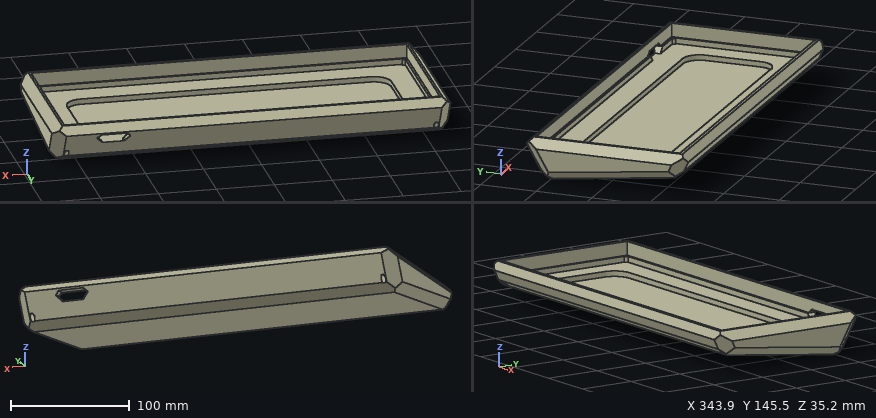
import cadquery as cq
import math

length = 343.91
width = 145.5
height = 35.23
front_lean = math.radians(25.0)
back_lean = math.radians(30.0)
base_slope = math.radians(7.0)

bevel = 8.0
front_base_bevel = 5.8
corner_bevel = 10.0
back_rim_bevel = 10.95

half_length = length / 2
top_z = height / 2

tray_center_y = -0.7
pocket_x = 324.0
pocket_y = 129.0
pocket_depth = 12.0
ledge_z = top_z - pocket_depth
ledge_width = 2.0
well_x = pocket_x - 2 * ledge_width
well_y = pocket_y - 2 * ledge_width
well_depth = 5.0
floor_z = ledge_z - well_depth

recess_x = 279.75
recess_y = 79.5
recess_center_y = 0.0
recess_radius = 15.0
recess_depth = 4.75

post_diameter = 4.0
screw_inset = 0.5
screw_diameter = 2.0
head_diameter = 4.0
head_roof = 1.0

slot_x = 120.45
slot_floor_width = 18.5
slot_lower_bevel = 5.0
slot_upper_bevel = 3.25
slot_rise = 3.5
slot_top_z = ledge_z + slot_rise

SPACE = 1000.0

front_edge_y = -width / 2 - bevel * math.sin(front_lean)
back_edge_y = width / 2 + bevel * math.sin(back_lean)
base_back_z = -top_z - bevel * math.sin(base_slope)
base_back_y = back_edge_y - (top_z - base_back_z) * math.tan(back_lean)
sharp_front_height = top_z - base_back_z - (base_back_y - front_edge_y) * math.tan(base_slope)
base_front_drop = sharp_front_height / (1 - math.tan(front_lean) * math.tan(base_slope))

top_front = (front_edge_y, top_z)
top_back = (back_edge_y, top_z)
base_back = (base_back_y, base_back_z)
base_front = (front_edge_y + base_front_drop * math.tan(front_lean), top_z - base_front_drop)

TOP = cq.Vector(0, 0, 1)
LEFT = cq.Vector(-1, 0, 0)
RIGHT = cq.Vector(1, 0, 0)
FRONT = cq.Vector(0, -math.cos(front_lean), -math.sin(front_lean))
BACK = cq.Vector(0, math.cos(back_lean), -math.sin(back_lean))
BASE = cq.Vector(0, -math.sin(base_slope), -math.cos(base_slope))


def bevel_edge(body, corner, face_a, face_b, setback_a, setback_b):
    """Cut away the edge between two faces, given by outward normals, that runs through corner."""
    into_a = (face_a * face_a.dot(face_b) - face_b).normalized()
    into_b = (face_b * face_a.dot(face_b) - face_a).normalized()
    point_a = corner + into_a * setback_a
    point_b = corner + into_b * setback_b
    edge = face_a.cross(face_b)
    outward = (point_b - point_a).cross(edge)
    if outward.dot(face_a + face_b) < 0:
        outward = outward * -1
    plane = cq.Plane(origin=point_a, xDir=edge, normal=outward)
    return body.cut(cq.Workplane(plane).rect(SPACE, SPACE).extrude(SPACE))


def make_body():
    profile = [top_front, top_back, base_back, base_front]
    body = cq.Workplane("YZ").polyline(profile).close().extrude(half_length, both=True)
    long_edges = [
        (top_front, TOP, FRONT, bevel, bevel),
        (top_back, TOP, BACK, back_rim_bevel, bevel),
        (base_back, BASE, BACK, bevel, bevel),
        (base_front, BASE, FRONT, front_base_bevel, front_base_bevel),
    ]
    for (y, z), face_a, face_b, setback_a, setback_b in long_edges:
        body = bevel_edge(body, cq.Vector(0, y, z), face_a, face_b, setback_a, setback_b)
    end_edges = [
        (top_front, TOP, bevel),
        (base_front, BASE, bevel),
        (top_front, FRONT, corner_bevel),
        (top_back, BACK, corner_bevel),
    ]
    for end in (LEFT, RIGHT):
        for (y, z), face, setback in end_edges:
            corner = cq.Vector(end.x * half_length, y, z)
            body = bevel_edge(body, corner, end, face, setback, setback)
    return body


def block_down(size_x, size_y, top, depth):
    """Block centred on the tray, reaching down from the level top."""
    return cq.Workplane("XY", origin=(0, tray_center_y, top)).rect(size_x, size_y).extrude(-depth)


def cut_interior(body):
    body = body.cut(block_down(pocket_x, pocket_y, top_z, pocket_depth))
    body = body.cut(block_down(well_x, well_y, ledge_z, well_depth))
    recess = cq.Workplane("XY", origin=(0, recess_center_y, floor_z)).rect(recess_x, recess_y)
    recess = recess.extrude(-recess_depth).edges("|Z").fillet(recess_radius)
    return body.cut(recess)


def cut_cable_slot(body):
    half_floor = slot_floor_width / 2
    half_wide = half_floor + slot_lower_bevel
    half_top = half_wide - slot_upper_bevel
    lower_z = floor_z + slot_lower_bevel
    upper_z = slot_top_z - slot_upper_bevel
    right_side = [
        (half_floor, floor_z),
        (half_wide, lower_z),
        (half_wide, upper_z),
        (half_top, slot_top_z),
    ]
    left_side = [(-x, z) for x, z in reversed(right_side)]
    slot = (
        cq.Workplane("XZ", origin=(slot_x, tray_center_y + well_y / 2, 0))
        .polyline(right_side + left_side)
        .close()
        .extrude(-SPACE)
    )
    return body.cut(slot)


def add_screw_posts(body):
    spacing_x = well_x - 2 * screw_inset
    spacing_y = well_y - 2 * screw_inset

    def cylinders(diameter, z_min, z_max):
        corners = cq.Workplane("XY", origin=(0, tray_center_y, z_min)).rect(
            spacing_x, spacing_y, forConstruction=True
        ).vertices()
        return corners.circle(diameter / 2).extrude(z_max - z_min)

    body = body.union(cylinders(post_diameter, floor_z, ledge_z))
    body = body.cut(cylinders(screw_diameter, -top_z, ledge_z))
    return body.cut(cylinders(head_diameter, -top_z, floor_z - head_roof))


result = add_screw_posts(cut_cable_slot(cut_interior(make_body())))